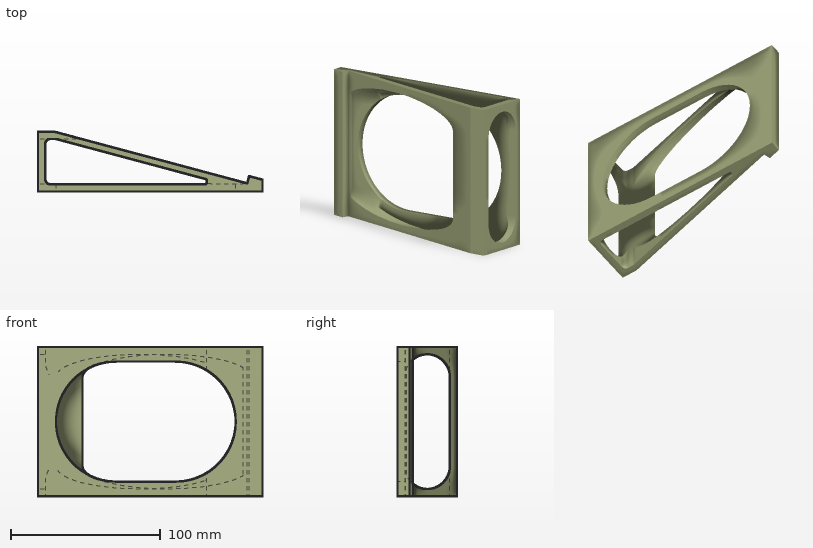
import cadquery as cq
import math

length = 150.0
depth = 40.0
height = 100.0
wall = 5.0

slope_angle = math.radians(15.0)
slope = math.tan(slope_angle)
slope_start_x = 11.2
lip_foot_x = 139.7
lip_height = 5.0

cavity_slope_start_x = 12.3
cavity_end_x = 112.6
cavity_large_fillet = 3.0
cavity_small_fillet = 0.8

window_length = 120.0
window_height = 80.0
window_start_x = 12.0
window_depth = depth / 2

slot_width = depth - 2 * wall
slot_height = height - 2 * wall
slot_end_x = 137.0


def make_body():
    """Wedge profile with the lip, extruded along Z."""
    foot_y = depth - slope * (lip_foot_x - slope_start_x)
    tip_x = lip_foot_x + lip_height * math.sin(slope_angle)
    tip_y = foot_y + lip_height * math.cos(slope_angle)
    end_y = tip_y - slope * (length - tip_x)
    return (
        cq.Workplane("XY")
        .moveTo(0, 0)
        .lineTo(length, 0)
        .lineTo(length, end_y)
        .lineTo(tip_x, tip_y)
        .lineTo(lip_foot_x, foot_y)
        .lineTo(slope_start_x, depth)
        .lineTo(0, depth)
        .close()
        .extrude(height)
    )


def make_cavity():
    """Full-height hollow that leaves the front, end and sloped walls."""
    top_y = depth - wall
    end_y = top_y - slope * (cavity_end_x - cavity_slope_start_x)
    hollow = (
        cq.Workplane("XY")
        .moveTo(wall, wall)
        .lineTo(cavity_end_x, wall)
        .lineTo(cavity_end_x, end_y)
        .lineTo(cavity_slope_start_x, top_y)
        .lineTo(wall, top_y)
        .close()
        .extrude(height)
    )
    hollow = hollow.faces("<X").edges("|Z").fillet(cavity_large_fillet)
    return hollow.faces(">X").edges("|Z").fillet(cavity_small_fillet)


def make_window():
    """Round-ended window from the front face, stopping short of the sloped wall."""
    return (
        cq.Workplane("XZ")
        .center(window_start_x + window_length / 2, height / 2)
        .slot2D(window_length, window_height)
        .extrude(-window_depth)
    )


def make_slot():
    """Round-ended slot driven along X from the tall end wall."""
    return (
        cq.Workplane("YZ")
        .center(depth / 2, height / 2)
        .slot2D(slot_height, slot_width, 90)
        .extrude(slot_end_x)
    )


result = make_body().cut(make_cavity()).cut(make_window()).cut(make_slot())